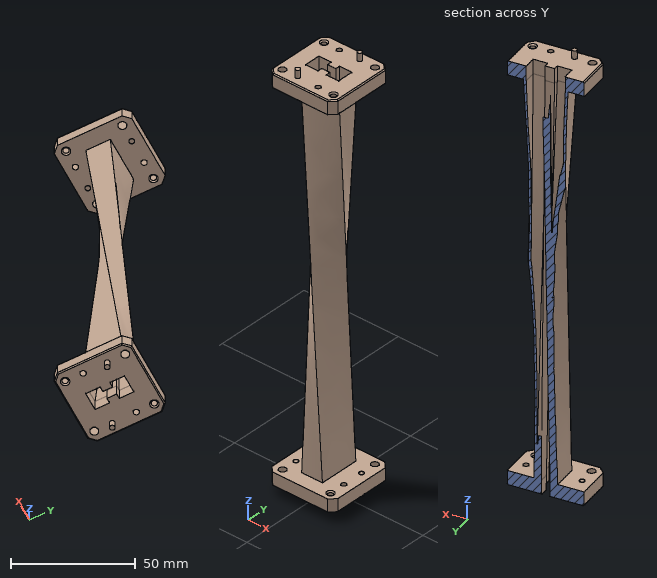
import cadquery as cq

TOTAL_LENGTH = 208.5
FLANGE_SIDE = 35.0
FLANGE_THICKNESS = 6.9
FLANGE_CORNER_CHAMFER = 3.0
FACE_EDGE_CHAMFER = 0.52

BORE_WIDTH = 17.5
BORE_HEIGHT = 8.1
RIDGE_WIDTH = 4.4
RIDGE_GAP = 3.5
WALL = 1.5

HOLE_ROW_Y = 12.7
BOLT_X = 13.5
PLAIN_HOLE_DIAMETER = 3.5
SCREW_HOLE_DIAMETER = 2.5
SCREW_HOLE_CHAMFER = 0.6

PIN_X = 5.5
PIN_DIAMETER = 2.3
PIN_PROTRUSION = 4.0
PIN_BACK_RECESS = 0.2
PIN_HOLE_DIAMETER = 2.5

FACE_Z = TOTAL_LENGTH / 2 - PIN_PROTRUSION
TUBE_END_Z = FACE_Z - FLANGE_THICKNESS


def rectangle_points(width, height):
    x, y = width / 2, height / 2
    return [(-x, -y), (x, -y), (x, y), (-x, y)]


def double_ridge_points():
    """Rectangle with a ridge reaching inwards from each long side."""
    x, y = BORE_WIDTH / 2, BORE_HEIGHT / 2
    ridge_x, ridge_y = RIDGE_WIDTH / 2, RIDGE_GAP / 2
    lower_half = [
        (-x, -y), (-ridge_x, -y), (-ridge_x, -ridge_y),
        (ridge_x, -ridge_y), (ridge_x, -y), (x, -y),
    ]
    upper_half = [(-px, -py) for px, py in lower_half]
    return lower_half + upper_half


def twisted_prism(points):
    """Ruled solid whose outline makes a quarter turn from the upper end to the lower end."""
    upper = [cq.Vector(x, y, TUBE_END_Z) for x, y in points]
    lower = [cq.Vector(-y, x, -TUBE_END_Z) for x, y in points]
    faces = []
    for i in range(len(points)):
        j = (i + 1) % len(points)
        upper_edge = cq.Edge.makeLine(upper[i], upper[j])
        lower_edge = cq.Edge.makeLine(lower[i], lower[j])
        faces.append(cq.Face.makeRuledSurface(upper_edge, lower_edge))
    for corners in (upper, lower):
        faces.append(cq.Face.makeFromWires(cq.Wire.makePolygon(corners, close=True)))
    return cq.Workplane(cq.Solid.makeSolid(cq.Shell.makeShell(faces)).fix())


def opposite_pair(x, y):
    """A point and its mirror image through the flange centre."""
    return [(x, y), (-x, -y)]


def cylinders(points, diameter, start_z, height):
    return (
        cq.Workplane("XY", origin=(0, 0, start_z))
        .pushPoints(points)
        .circle(diameter / 2)
        .extrude(height)
    )


def countersunk_hole(x, y):
    """Cutter for a hole through the flange, chamfered at both ends."""
    radius = SCREW_HOLE_DIAMETER / 2
    rim = radius + SCREW_HOLE_CHAMFER
    lower_z = TUBE_END_Z + SCREW_HOLE_CHAMFER
    upper_z = FACE_Z - SCREW_HOLE_CHAMFER
    profile = [
        (0, TUBE_END_Z), (rim, TUBE_END_Z), (radius, lower_z),
        (radius, upper_z), (rim, FACE_Z), (0, FACE_Z),
    ]
    cutter = cq.Workplane("XZ").polyline(profile).close().revolve(360, (0, 0), (0, 1))
    return cutter.translate((x, y, 0))


def upper_flange():
    """Flange facing +Z, with its bore, bolt holes, open pin holes and alignment pins."""
    flange = (
        cq.Workplane("XY", origin=(0, 0, TUBE_END_Z))
        .rect(FLANGE_SIDE, FLANGE_SIDE)
        .extrude(FLANGE_THICKNESS)
        .edges("|Z").chamfer(FLANGE_CORNER_CHAMFER)
        .faces(">Z").edges().chamfer(FACE_EDGE_CHAMFER)
    )
    bore = (
        cq.Workplane("XY", origin=(0, 0, TUBE_END_Z))
        .polyline(double_ridge_points()).close()
        .extrude(FLANGE_THICKNESS)
    )
    flange = flange.cut(bore)

    plain_holes = opposite_pair(BOLT_X, HOLE_ROW_Y)
    flange = flange.cut(cylinders(plain_holes, PLAIN_HOLE_DIAMETER, TUBE_END_Z, FLANGE_THICKNESS))
    for x, y in opposite_pair(-BOLT_X, HOLE_ROW_Y):
        flange = flange.cut(countersunk_hole(x, y))

    pin_holes = opposite_pair(-PIN_X, HOLE_ROW_Y)
    flange = flange.cut(cylinders(pin_holes, PIN_HOLE_DIAMETER, TUBE_END_Z, FLANGE_THICKNESS))

    pins = opposite_pair(PIN_X, HOLE_ROW_Y)
    flange = flange.cut(cylinders(pins, PIN_DIAMETER, TUBE_END_Z, PIN_BACK_RECESS))
    return flange.union(cylinders(pins, PIN_DIAMETER, FACE_Z, PIN_PROTRUSION))


tube_outline = rectangle_points(BORE_WIDTH + 2 * WALL, BORE_HEIGHT + 2 * WALL)
tube = twisted_prism(tube_outline).cut(twisted_prism(double_ridge_points()))

top_flange = upper_flange()
bottom_flange = top_flange.rotate((0, 0, 0), (1, 1, 0), 180)

result = tube.union(top_flange).union(bottom_flange)